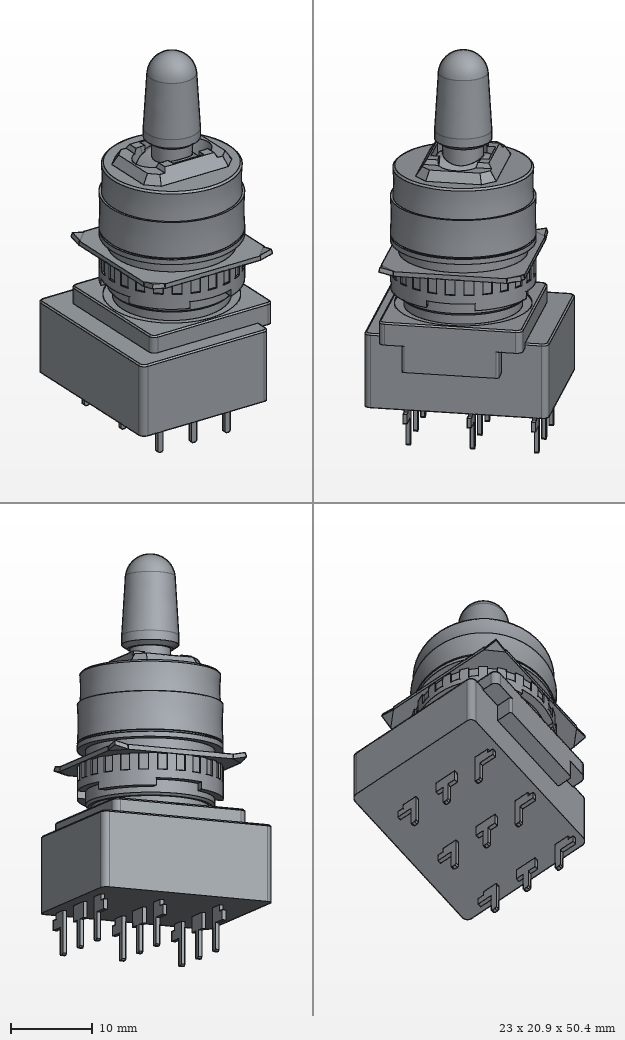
import cadquery as cq
import math


TOTAL_HEIGHT = 50.4
OUTER_DIAMETER = 17.95

BLOCK_LENGTH = 23.0
BLOCK_WIDTH = 18.85
BLOCK_HEIGHT = 9.7
BLOCK_CENTER_X = -0.35
BLOCK_CENTER_Y = -2.5
CORNER_RADIUS = 0.8
TOP_CHAMFER = 0.2

PIN_THICKNESS = 0.5
PIN_WIDTH = 0.8
PIN_LENGTH = 5.55
PIN_TIP_CHAMFER = 0.2
PIN_PITCH_X = 8.0
PIN_PITCH_Y = 5.0
PIN_CENTER_X = -1.9
PIN_CENTER_Y = -1.0
SHOULDER_DEPTH = 2.0
SHOULDER_WIDTH = 2.9
OUTER_ROOT_WIDTH = 2.0
OUTER_FOOT_WIDTH = 2.8
OUTER_FOOT_DROP = 0.75

FLANGE_SIDE = OUTER_DIAMETER
FLANGE_TOP = 12.0
FLANGE_BOTTOM = 9.05
FLANGE_RECESS_RADIUS = 8.45
FLANGE_RECESS_DEPTH = 0.2
TAB_WIDTH = 12.1
TAB_BOTTOM = 5.65
TAB_FILLET = 0.3

NECK_RADIUS = 7.3
TUBE_RADIUS = 7.95
TUBE_BOTTOM = 13.1
TUBE_CHAMFER = 0.3
BEZEL_RADIUS = OUTER_DIAMETER / 2
BEZEL_BOTTOM = 20.2
GROOVE_BOTTOM = 20.85
GROOVE_TOP = 21.1
GROOVE_RADIUS = 8.65
BEZEL_STEP_Z = 25.95
CAP_RADIUS = 8.65
CAP_TOP = 29.95
CAP_CHAMFER = 0.25
WAIST = 0.1

BOSS_HALF_X = 5.05
BOSS_HALF_Y = 6.55
BOSS_CORNER = 1.55
BOSS_TOP = 31.75
BOSS_TAPER = 33.0
BOSS_END_Z = 31.15
RIDGE_TOP_HALF_Y = 3.65
RIDGE_FOOT_HALF_Y = 3.95

SLOT_RADIUS = 2.55
SLOT_END_Y = 5.35
SLOT_TILT = 15.0
SLOT_FLOOR = 27.3
WINDOW_HALF_X = 3.65
WINDOW_HALF_Y = 2.25
WINDOW_FLOOR = 28.6
ROCKER_RADIUS = 5.2
ROCKER_AXIS_Z = 26.2
ROCKER_HALF_X = 3.55
ROCKER_FILLET = 0.9

STEM_RADIUS = 2.5
KNOB_BOTTOM = 32.95
KNOB_BOTTOM_RADIUS = 2.8
KNOB_RIM_Z = 33.45
KNOB_RADIUS = 3.55
KNOB_TAPER_Z = 34.6
KNOB_SHOULDER_Z = 42.1
KNOB_SHOULDER_RADIUS = 3.05
KNOB_TOP = TOTAL_HEIGHT - PIN_LENGTH

WASHER_SIDE = OUTER_DIAMETER
WASHER_BOTTOM = 18.15
WASHER_THICKNESS = 0.6
BENT_CORNER = 1.9
BEND_ANGLE = 18.0
WASHER_CORNERS = 4

NUT_RADIUS = OUTER_DIAMETER / 2
NUT_BOTTOM = 14.1
NUT_SLOT_COUNT = 24
NUT_SLOT_WIDTH = 1.2
NUT_SLOT_DEPTH = 0.25
NUT_SLOT_BOTTOM = 16.15
NOTCH_COUNT = 4
NOTCH_WIDTH = 6.1
NOTCH_TOP = 15.0


def slab(size_x, size_y, z_bottom, z_top, center=(0, 0)):
    """Rectangular block between two heights."""
    plane = cq.Workplane("XY", origin=(center[0], center[1], z_bottom))
    return plane.rect(size_x, size_y).extrude(z_top - z_bottom)


def disc(radius, z_bottom, z_top):
    """Round block on the operator axis between two heights."""
    return cq.Workplane("XY").workplane(offset=z_bottom).circle(radius).extrude(z_top - z_bottom)


def rounded_slab(size_x, size_y, z_bottom, z_top, center=(0, 0)):
    """Block with rounded upright edges and a chamfered top rim."""
    body = slab(size_x, size_y, z_bottom, z_top, center).edges("|Z").fillet(CORNER_RADIUS)
    return body.faces(">Z").edges().chamfer(TOP_CHAMFER)


def plate_in_x(points, center_x):
    """YZ outline given a terminal's thickness, centred on center_x."""
    outline = cq.Workplane("YZ", origin=(center_x, 0, 0)).polyline(points).close()
    return outline.extrude(PIN_THICKNESS / 2, both=True)


def terminal(center_x, row):
    """One terminal: row 0 is the middle one, rows 1 and -1 have a foot pointing outward."""
    axis_y = PIN_CENTER_Y + row * PIN_PITCH_Y
    half = PIN_WIDTH / 2
    tip = half - PIN_TIP_CHAMFER
    tip_points = [
        (half, -SHOULDER_DEPTH),
        (half, PIN_TIP_CHAMFER - PIN_LENGTH),
        (tip, -PIN_LENGTH),
        (-tip, -PIN_LENGTH),
        (-half, PIN_TIP_CHAMFER - PIN_LENGTH),
    ]
    if row == 0:
        root = SHOULDER_WIDTH / 2
        points = [(-root, 0), (root, 0), (root, -SHOULDER_DEPTH)]
        points += tip_points
        points += [(-half, -SHOULDER_DEPTH), (-root, -SHOULDER_DEPTH)]
        side = 1
    else:
        root = OUTER_ROOT_WIDTH - half
        foot = OUTER_FOOT_WIDTH - half
        points = [(-half, 0), (root, 0), (root, -OUTER_FOOT_DROP)]
        points += [(foot, -OUTER_FOOT_DROP), (foot, -SHOULDER_DEPTH)]
        points += tip_points
        side = row
    return plate_in_x([(axis_y + side * y, z) for y, z in points], center_x)


def make_base():
    """Contact block, square flange, latch tab and the nine terminals."""
    base = rounded_slab(BLOCK_LENGTH, BLOCK_WIDTH, 0, BLOCK_HEIGHT, (BLOCK_CENTER_X, BLOCK_CENTER_Y))
    flange = rounded_slab(FLANGE_SIDE, FLANGE_SIDE, FLANGE_BOTTOM, FLANGE_TOP)
    flange = flange.cut(disc(FLANGE_RECESS_RADIUS, FLANGE_TOP - FLANGE_RECESS_DEPTH, FLANGE_TOP))
    tab_length = FLANGE_SIDE / 2
    tab = slab(TAB_WIDTH, tab_length, TAB_BOTTOM, FLANGE_BOTTOM, (0, tab_length / 2))
    tab = tab.edges("|Z and >Y").fillet(TAB_FILLET)
    base = base.union(flange).union(tab)
    for column in (-1, 0, 1):
        for row in (-1, 0, 1):
            base = base.union(terminal(PIN_CENTER_X + column * PIN_PITCH_X, row))
    return base


def make_barrel():
    """Neck, mounting tube, bezel and cap turned about the operator axis."""
    bezel_middle = (GROOVE_TOP + BEZEL_STEP_Z) / 2
    cap_edge_z = CAP_TOP - CAP_CHAMFER
    cap_middle = (BEZEL_STEP_Z + cap_edge_z) / 2
    profile = (
        cq.Workplane("XZ")
        .moveTo(0, FLANGE_BOTTOM)
        .lineTo(NECK_RADIUS, FLANGE_BOTTOM)
        .lineTo(NECK_RADIUS, TUBE_BOTTOM)
        .lineTo(TUBE_RADIUS - TUBE_CHAMFER, TUBE_BOTTOM)
        .lineTo(TUBE_RADIUS, TUBE_BOTTOM + TUBE_CHAMFER)
        .lineTo(TUBE_RADIUS, BEZEL_BOTTOM)
        .lineTo(BEZEL_RADIUS, BEZEL_BOTTOM)
        .lineTo(BEZEL_RADIUS, GROOVE_BOTTOM)
        .lineTo(GROOVE_RADIUS, GROOVE_BOTTOM)
        .lineTo(GROOVE_RADIUS, GROOVE_TOP)
        .lineTo(BEZEL_RADIUS, GROOVE_TOP)
        .threePointArc((BEZEL_RADIUS - WAIST, bezel_middle), (BEZEL_RADIUS, BEZEL_STEP_Z))
        .lineTo(CAP_RADIUS, BEZEL_STEP_Z)
        .threePointArc((CAP_RADIUS - WAIST, cap_middle), (CAP_RADIUS, cap_edge_z))
        .lineTo(CAP_RADIUS - CAP_CHAMFER, CAP_TOP)
        .lineTo(0, CAP_TOP)
        .close()
    )
    return profile.revolve(360, (0, 0, 0), (0, 1, 0))


def make_boss():
    """Tapered eight-sided boss with a raised ridge across its middle."""
    corner_x = BOSS_HALF_X - BOSS_CORNER
    corner_y = BOSS_HALF_Y - BOSS_CORNER
    outline = [
        (BOSS_HALF_X, corner_y), (corner_x, BOSS_HALF_Y),
        (-corner_x, BOSS_HALF_Y), (-BOSS_HALF_X, corner_y),
        (-BOSS_HALF_X, -corner_y), (-corner_x, -BOSS_HALF_Y),
        (corner_x, -BOSS_HALF_Y), (BOSS_HALF_X, -corner_y),
    ]
    plane = cq.Workplane("XY").workplane(offset=CAP_TOP)
    boss = plane.polyline(outline).close().extrude(BOSS_TOP - CAP_TOP, taper=BOSS_TAPER)
    for side in (-1, 1):
        end_outline = [
            (side * RIDGE_FOOT_HALF_Y, BOSS_END_Z),
            (side * RIDGE_TOP_HALF_Y, BOSS_TOP),
            (side * BOSS_HALF_Y, BOSS_TOP),
            (side * BOSS_HALF_Y, BOSS_END_Z),
        ]
        end_cut = cq.Workplane("YZ").polyline(end_outline).close().extrude(BOSS_HALF_X, both=True)
        boss = boss.cut(end_cut)
    return boss


def make_lever_opening():
    """Slot with leaning round ends for the lever, crossed by a window for the rocker."""
    lean = math.tan(math.radians(SLOT_TILT))
    top_y = SLOT_END_Y - SLOT_RADIUS + lean * (BOSS_TOP - BOSS_END_Z)
    floor_y = top_y - lean * (BOSS_TOP - SLOT_FLOOR)
    middle_outline = [(-floor_y, SLOT_FLOOR), (floor_y, SLOT_FLOOR), (top_y, BOSS_TOP), (-top_y, BOSS_TOP)]
    opening = cq.Workplane("YZ").polyline(middle_outline).close().extrude(SLOT_RADIUS, both=True)
    end_length = (BOSS_TOP - SLOT_FLOOR) / math.cos(math.radians(SLOT_TILT)) + SLOT_RADIUS
    for side in (-1, 1):
        foot = (0, side * floor_y, SLOT_FLOOR)
        axis_plane = cq.Plane(origin=foot, xDir=(1, 0, 0), normal=(0, side * lean, 1))
        opening = opening.union(cq.Workplane(axis_plane).circle(SLOT_RADIUS).extrude(end_length))
    window = slab(2 * WINDOW_HALF_X, 2 * WINDOW_HALF_Y, WINDOW_FLOOR, BOSS_TOP)
    return opening.union(window)


def make_rocker():
    """Round-edged drum across X that carries the lever."""
    drum = cq.Workplane("YZ", origin=(0, 0, ROCKER_AXIS_Z)).circle(ROCKER_RADIUS)
    return drum.extrude(ROCKER_HALF_X, both=True).edges("%CIRCLE").fillet(ROCKER_FILLET)


def make_lever():
    """Straight stem with a tapered, round-topped knob."""
    dome_height = KNOB_TOP - KNOB_SHOULDER_Z
    dome_radius = (KNOB_SHOULDER_RADIUS**2 + dome_height**2) / (2 * dome_height)
    half_angle = math.asin(KNOB_SHOULDER_RADIUS / dome_radius) / 2
    dome_middle = (
        dome_radius * math.sin(half_angle),
        KNOB_TOP - dome_radius * (1 - math.cos(half_angle)),
    )
    profile = (
        cq.Workplane("XZ")
        .moveTo(0, ROCKER_AXIS_Z)
        .lineTo(STEM_RADIUS, ROCKER_AXIS_Z)
        .lineTo(STEM_RADIUS, KNOB_BOTTOM)
        .lineTo(KNOB_BOTTOM_RADIUS, KNOB_BOTTOM)
        .lineTo(KNOB_RADIUS, KNOB_RIM_Z)
        .lineTo(KNOB_RADIUS, KNOB_TAPER_Z)
        .lineTo(KNOB_SHOULDER_RADIUS, KNOB_SHOULDER_Z)
        .threePointArc(dome_middle, (0, KNOB_TOP))
        .close()
    )
    return profile.revolve(360, (0, 0, 0), (0, 1, 0))


def make_switch():
    """The whole switch: base, housing, rocker and lever as one solid."""
    housing = make_barrel().union(make_boss()).cut(make_lever_opening())
    return make_base().union(housing).union(make_rocker()).union(make_lever())


def make_washer():
    """Square lock washer with its four corners bent up."""
    half = WASHER_SIDE / 2
    bend = half - BENT_CORNER
    top = WASHER_BOTTOM + WASHER_THICKNESS
    washer = slab(WASHER_SIDE, WASHER_SIDE, WASHER_BOTTOM, top).edges("|Z").chamfer(BENT_CORNER)
    corner_plane = cq.Workplane("XY").workplane(offset=WASHER_BOTTOM)
    triangle = [(half, bend), (half, half), (bend, half)]
    corner = corner_plane.polyline(triangle).close().extrude(WASHER_THICKNESS)
    corner = corner.rotate((half, bend, WASHER_BOTTOM), (bend, half, WASHER_BOTTOM), -BEND_ANGLE)
    for index in range(WASHER_CORNERS):
        washer = washer.union(corner.rotate((0, 0, 0), (0, 0, 1), index * 360 / WASHER_CORNERS))
    return washer.cut(disc(TUBE_RADIUS, WASHER_BOTTOM, top))


def make_nut():
    """Ring nut with grip slots around its rim and wrench notches in its lower edge."""
    nut = disc(NUT_RADIUS, NUT_BOTTOM, WASHER_BOTTOM)
    slot = slab(2 * NUT_SLOT_DEPTH, NUT_SLOT_WIDTH, NUT_SLOT_BOTTOM, WASHER_BOTTOM, (NUT_RADIUS, 0))
    for index in range(NUT_SLOT_COUNT):
        nut = nut.cut(slot.rotate((0, 0, 0), (0, 0, 1), index * 360 / NUT_SLOT_COUNT))
    notch = slab(NUT_RADIUS, NOTCH_WIDTH, NUT_BOTTOM, NOTCH_TOP, (NUT_RADIUS, 0))
    for index in range(NOTCH_COUNT):
        nut = nut.cut(notch.rotate((0, 0, 0), (0, 0, 1), index * 360 / NOTCH_COUNT))
    return nut.cut(disc(TUBE_RADIUS, NUT_BOTTOM, WASHER_BOTTOM))


switch = make_switch().solids()
washer = make_washer().solids()
nut = make_nut().solids()

result = cq.Compound.makeCompound([switch.val(), washer.val(), nut.val()])